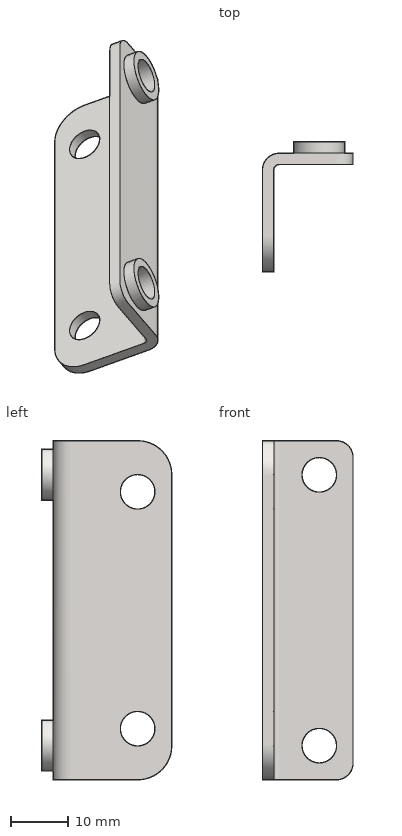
import cadquery as cq

height = 59.5
flange_width = 15.95
total_depth = 22.85
thickness = 2.0
bend_inner_radius = 0.95
bend_outer_radius = bend_inner_radius + thickness

side_corner_radius = 6.0
flange_corner_radius = 3.0

hole_diameter = 6.0
boss_diameter = 9.0
boss_height = 2.0
boss_from_bend = 10.0
boss_from_end = 6.0
side_hole_from_edge = 6.0
side_hole_from_end = 9.0

flange_back = total_depth - boss_height
flange_front = flange_back - thickness


def make_angle():
    """Bent L profile extruded over the full height."""
    profile = (
        cq.Workplane("XY")
        .polyline([
            (0, 0),
            (thickness, 0),
            (thickness, flange_front),
            (flange_width, flange_front),
            (flange_width, flange_back),
            (0, flange_back),
        ])
        .close()
        .extrude(height)
    )
    inner_bend = cq.selectors.NearestToPointSelector((thickness, flange_front, height / 2))
    outer_bend = cq.selectors.NearestToPointSelector((0, flange_back, height / 2))
    return (
        profile
        .edges(inner_bend).fillet(bend_inner_radius)
        .edges(outer_bend).fillet(bend_outer_radius)
    )


def round_free_corners(body):
    """Round the end corners of both legs."""
    body = body.faces("<Y").edges("|X").fillet(side_corner_radius)
    return body.faces(">X").edges("|Y").fillet(flange_corner_radius)


def cylinder_along_y(diameter, z, start, length):
    """Cylinder on a boss axis, running toward +Y."""
    return cq.Workplane(
        cq.Solid.makeCylinder(
            diameter / 2, length, cq.Vector(boss_from_bend, start, z), cq.Vector(0, 1, 0)
        )
    )


def side_hole(z):
    """Cutter through the side leg, running toward +X."""
    return cq.Workplane(
        cq.Solid.makeCylinder(
            hole_diameter / 2, thickness, cq.Vector(0, side_hole_from_edge, z), cq.Vector(1, 0, 0)
        )
    )


result = round_free_corners(make_angle())

for z in (boss_from_end, height - boss_from_end):
    result = result.union(cylinder_along_y(boss_diameter, z, flange_front, thickness + boss_height))
    result = result.cut(cylinder_along_y(hole_diameter, z, flange_front, thickness + boss_height))

for z in (side_hole_from_end, height - side_hole_from_end):
    result = result.cut(side_hole(z))